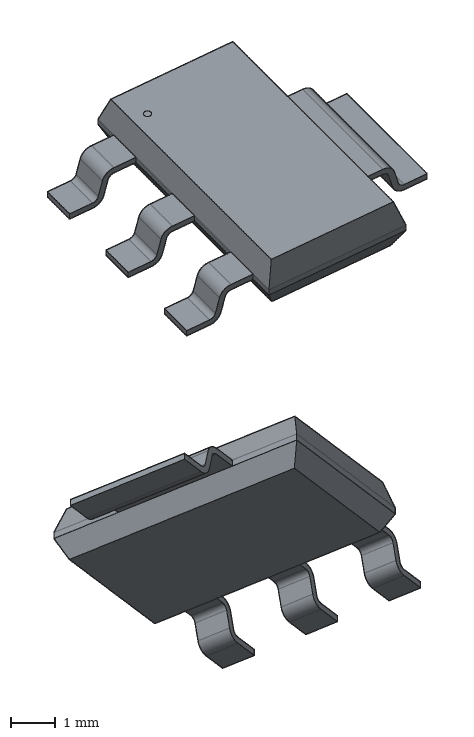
import cadquery as cq
import math

overall_y = 7.29
overall_z = 1.6

housing_x = 6.71
housing_y = 3.7
housing_bottom_z = 0.25
top_inset = 0.205
bottom_inset = 0.25

metal_thickness = 0.16
inner_bend_radius = 0.16
outer_bend_radius = inner_bend_radius + metal_thickness
bend_angle = math.radians(75)
shoulder_top_z = 0.93
shoulder_bottom_z = shoulder_top_z - metal_thickness
foot_length = 0.62

lead_width = 0.875
lead_pitch = 2.295
lead_count = 3
tab_width = 3.15

mark_diameter = 0.18
mark_depth = 0.04
mark_x = -lead_pitch
mark_y = -1.24


def tapered_half(start_z, end_z, inset):
    """Half of the housing, from the full belt outline to one drawn in by inset."""
    return (
        cq.Workplane("XY", origin=(0, 0, start_z))
        .rect(housing_x, housing_y)
        .workplane(offset=end_z - start_z)
        .rect(housing_x - 2 * inset, housing_y - 2 * inset)
        .loft(ruled=True)
    )


def make_mark():
    """Thin disc whose upper face lies in the top of the housing."""
    return (
        cq.Workplane("XY", origin=(mark_x, mark_y, overall_z - mark_depth))
        .circle(mark_diameter / 2)
        .extrude(mark_depth)
    )


def make_housing(mark):
    """Belt and tapered halves, with a recess that fits the mark."""
    belt = (
        cq.Workplane("XY", origin=(0, 0, shoulder_bottom_z))
        .rect(housing_x, housing_y)
        .extrude(metal_thickness)
    )
    upper = tapered_half(shoulder_top_z, overall_z, top_inset)
    lower = tapered_half(shoulder_bottom_z, housing_bottom_z, bottom_inset)
    return belt.union(upper).union(lower).cut(mark).solids()


def arc_point(center, radius, angle):
    """Point (y, z) on a bend, with the angle measured from +Y towards +Z."""
    return (center[0] + radius * math.cos(angle), center[1] + radius * math.sin(angle))


def make_gull_wing(width, center_x):
    """Bent strip on the -Y side, from the housing wall down to a flat foot."""
    tip_y = -overall_y / 2
    wall_y = -housing_y / 2

    foot_center = (tip_y + foot_length, outer_bend_radius)
    radius_sum = inner_bend_radius + outer_bend_radius
    center_rise = shoulder_bottom_z - inner_bend_radius - foot_center[1]
    web_rise = center_rise + radius_sum * math.cos(bend_angle)
    web_run = web_rise / math.tan(bend_angle)
    center_run = radius_sum * math.sin(bend_angle) + web_run
    shoulder_center = (foot_center[0] + center_run, foot_center[1] + center_rise)

    foot_start = -math.pi / 2
    foot_middle = foot_start + bend_angle / 2
    foot_end = foot_start + bend_angle
    shoulder_start = math.pi / 2
    shoulder_middle = shoulder_start + bend_angle / 2
    shoulder_end = shoulder_start + bend_angle

    return (
        cq.Workplane("YZ", origin=(center_x - width / 2, 0, 0))
        .moveTo(tip_y, 0)
        .lineTo(foot_center[0], 0)
        .threePointArc(
            arc_point(foot_center, outer_bend_radius, foot_middle),
            arc_point(foot_center, outer_bend_radius, foot_end),
        )
        .lineTo(*arc_point(shoulder_center, inner_bend_radius, shoulder_end))
        .threePointArc(
            arc_point(shoulder_center, inner_bend_radius, shoulder_middle),
            arc_point(shoulder_center, inner_bend_radius, shoulder_start),
        )
        .lineTo(wall_y, shoulder_bottom_z)
        .lineTo(wall_y, shoulder_top_z)
        .lineTo(shoulder_center[0], shoulder_top_z)
        .threePointArc(
            arc_point(shoulder_center, outer_bend_radius, shoulder_middle),
            arc_point(shoulder_center, outer_bend_radius, shoulder_end),
        )
        .lineTo(*arc_point(foot_center, inner_bend_radius, foot_end))
        .threePointArc(
            arc_point(foot_center, inner_bend_radius, foot_middle),
            arc_point(foot_center, inner_bend_radius, foot_start),
        )
        .lineTo(tip_y, metal_thickness)
        .close()
        .extrude(width)
    )


def make_leads():
    """Row of equal leads centred on X = 0."""
    first_x = -lead_pitch * (lead_count - 1) / 2
    leads = []
    for index in range(lead_count):
        lead = make_gull_wing(lead_width, first_x + index * lead_pitch)
        leads.append(lead.val())
    return leads


def make_tab():
    """Wide tab on the +Y side, with the same bent profile as the leads."""
    return make_gull_wing(tab_width, 0).mirror("XZ")


mark = make_mark()
housing = make_housing(mark)
leads = make_leads()
tab = make_tab()

result = cq.Compound.makeCompound([housing.val(), mark.val(), *leads, tab.val()])